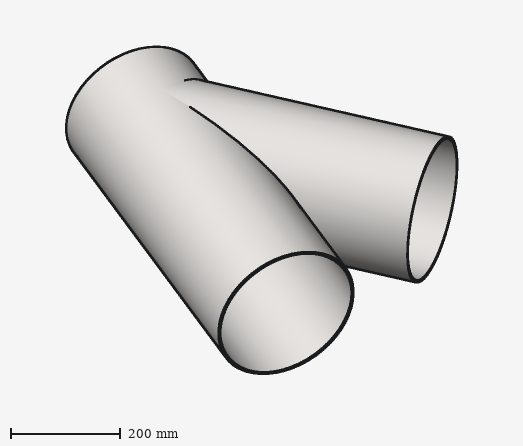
import cadquery as cq
import math

run_length = 648.0
outer_diameter = 273.5
inner_diameter = 265.0
branch_angle = 45.0
branch_start = 128.0
overall_width = 601.0

outer_radius = outer_diameter / 2
angle = math.radians(branch_angle)

branch_reach = overall_width - outer_radius
branch_length = (branch_reach - outer_radius * math.cos(angle)) / math.sin(angle)


def run_cylinder(diameter):
    """Cylinder along X over the full length of the run."""
    return cq.Workplane("YZ").circle(diameter / 2).extrude(run_length)


def branch_cylinder(diameter):
    """Cylinder along the branch axis, starting where the axes cross."""
    branch_plane = cq.Plane(
        origin=(branch_start, 0, 0),
        xDir=(0, 0, 1),
        normal=(math.cos(angle), math.sin(angle), 0),
    )
    return cq.Workplane(branch_plane).circle(diameter / 2).extrude(branch_length)


def pipe_junction(diameter):
    """Run and branch cylinders of one diameter joined together."""
    return run_cylinder(diameter).union(branch_cylinder(diameter))


result = pipe_junction(outer_diameter).cut(pipe_junction(inner_diameter))